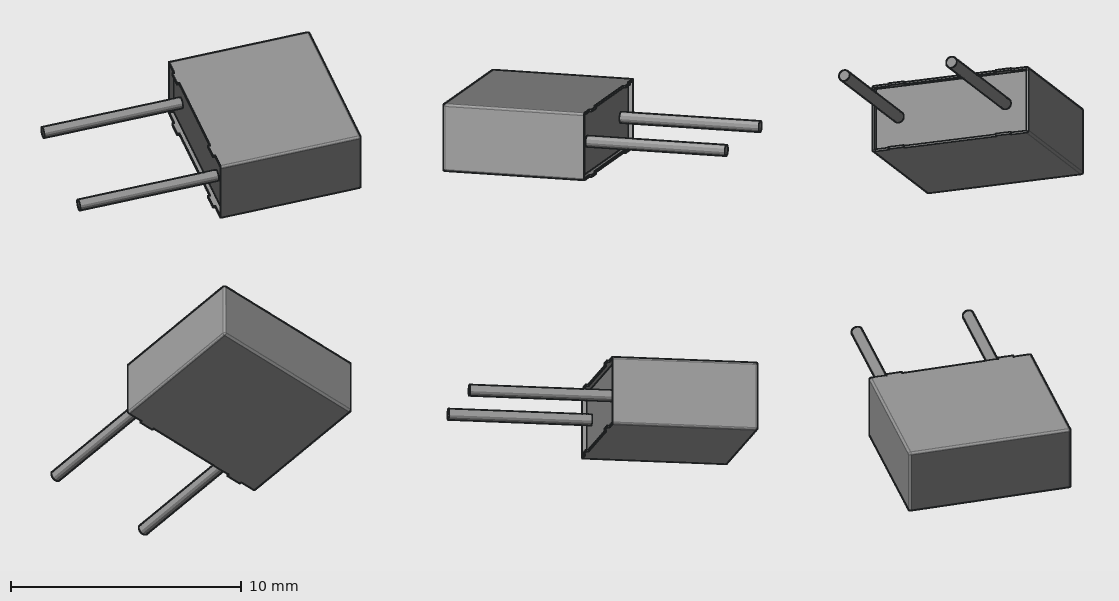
import cadquery as cq

total_length = 12.5
case_width = 7.3
case_height = 3.0
wall = 0.1
edge_radius = 0.1

lead_diameter = 0.5
lead_pitch = 5.0
lead_length = 6.0

standoff_width = 0.7
standoff_height = 0.1

recess_depth = 0.2

standoff_y = lead_length
rim_y = standoff_y + standoff_height
recess_floor_y = rim_y + recess_depth
lead_x_positions = (-lead_pitch / 2, lead_pitch / 2)


def rounded_block(front_y):
    """Block from front_y to the closed back, rounded everywhere except at the front."""
    return (
        cq.Workplane("XY")
        .box(case_width, total_length - front_y, case_height, centered=(True, False, True))
        .translate((0, front_y, 0))
        .edges("|Y or >Y")
        .fillet(edge_radius)
    )


def standoff_zones():
    """Full-height blocks that keep the rim longer next to each lead."""
    return (
        cq.Workplane("XY")
        .pushPoints([(x, standoff_y) for x in lead_x_positions])
        .box(standoff_width, standoff_height, case_height, centered=(True, False, True))
    )


def recess():
    """Pocket that leaves a thin wall around the open front."""
    return (
        cq.Workplane("XY")
        .box(
            case_width - 2 * wall,
            recess_floor_y - standoff_y,
            case_height - 2 * wall,
            centered=(True, False, True),
        )
        .translate((0, standoff_y, 0))
    )


def make_case():
    return rounded_block(rim_y).union(standoff_zones()).cut(recess())


def make_lead(x):
    """Straight round lead that butts against the recessed face."""
    return (
        cq.Workplane("XZ", origin=(x, 0, 0))
        .circle(lead_diameter / 2)
        .extrude(-recess_floor_y)
    )


case = make_case()
leads = [make_lead(x) for x in lead_x_positions]

result = cq.Compound.makeCompound([case.val(), *[lead.val() for lead in leads]])